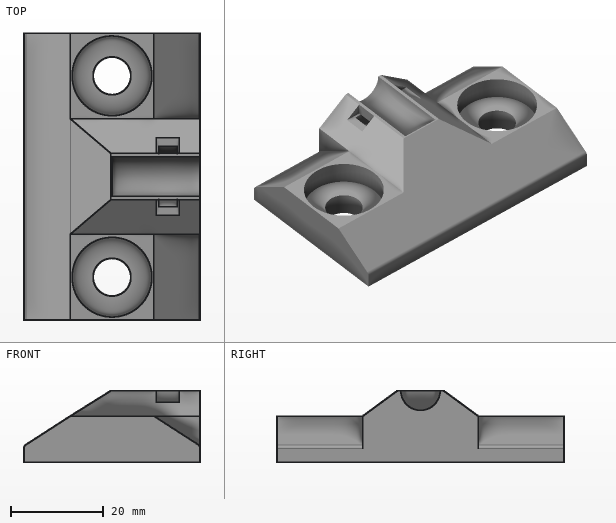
import cadquery as cq
import math

length_x = 38.1
length_y = 62.0
base_height = 10.0
slope_run = 10.0
slope_drop = 6.45
edge_radius = 1.0
mid_x = length_x / 2
side_height = base_height - slope_drop

total_height = 15.5
saddle_foot_width = 25.0
saddle_top_width = 10.0
saddle_foot_x = slope_run
saddle_top_x = 18.8

cradle_radius = 4.25
cradle_start_x = 19.1

pocket_width = 5.0
pocket_depth = 2.5
strap_x = 31.1
tunnel_width = 4.0
tunnel_outer_radius = 7.0
tunnel_inner_radius = math.hypot(saddle_top_width / 2, pocket_depth)

hole_diameter = 8.1
counterbore_diameter = 17.25
counterbore_depth = 5.0
hole_spacing = 43.5


def make_base():
    """Bar along Y with both upper sides sloped and the low slope edges rounded."""
    bar = (
        cq.Workplane("XZ")
        .moveTo(0, 0)
        .lineTo(length_x, 0)
        .lineTo(length_x, side_height)
        .lineTo(length_x - slope_run, base_height)
        .lineTo(slope_run, base_height)
        .lineTo(0, side_height)
        .close()
        .extrude(length_y / 2, both=True)
    )
    low_edges = cq.selectors.BoxSelector(
        (-edge_radius, -length_y, side_height - edge_radius),
        (length_x + edge_radius, length_y, side_height + edge_radius),
    )
    return bar.edges("|Y").edges(low_edges).fillet(edge_radius)


def make_saddle():
    """Block tapered on its -X side and both flanks, vertical at the +X end."""
    foot_length = length_x - saddle_foot_x
    pedestal = cq.Workplane("XY", origin=(saddle_foot_x, 0, 0)).box(
        foot_length, saddle_foot_width, base_height, centered=(False, True, False)
    )
    flanks = (
        cq.Workplane("YZ")
        .moveTo(-saddle_foot_width / 2, base_height)
        .lineTo(saddle_foot_width / 2, base_height)
        .lineTo(saddle_top_width / 2, total_height)
        .lineTo(-saddle_top_width / 2, total_height)
        .close()
        .extrude(length_x)
    )
    side_profile = (
        cq.Workplane("XZ")
        .moveTo(saddle_foot_x, base_height)
        .lineTo(length_x, base_height)
        .lineTo(length_x, total_height)
        .lineTo(saddle_top_x, total_height)
        .close()
        .extrude(saddle_foot_width / 2, both=True)
    )
    return pedestal.union(flanks.intersect(side_profile))


def cylinder_along_x(radius, start_x, end_x):
    """Cylinder parallel to X whose axis lies in the saddle's top face."""
    return (
        cq.Workplane("YZ", origin=(start_x, 0, total_height))
        .circle(radius)
        .extrude(end_x - start_x)
    )


def make_strap_pocket(side):
    """Flat-floored pocket in the flank on the given side (+1 or -1 along Y)."""
    pocket_reach = (saddle_foot_width - saddle_top_width) / 2
    pocket_y = side * (saddle_top_width / 2 + pocket_reach / 2)
    pocket_z = total_height - pocket_depth / 2
    return cq.Workplane("XY", origin=(strap_x, pocket_y, pocket_z)).box(
        pocket_width, pocket_reach, pocket_depth
    )


def make_strap_tunnel():
    """Lower part of a ring around the cradle axis, kept below the pocket floors."""
    start_x = strap_x - tunnel_width / 2
    end_x = strap_x + tunnel_width / 2
    ring = cylinder_along_x(tunnel_outer_radius, start_x, end_x).cut(
        cylinder_along_x(tunnel_inner_radius, start_x, end_x)
    )
    below_floors = cq.Workplane("XY").box(
        length_x, length_y, total_height - pocket_depth, centered=(False, True, False)
    )
    return ring.intersect(below_floors)


def make_mounting_hole(y):
    """Counterbored through hole in the deck at the given Y."""
    bore = (
        cq.Workplane("XY", origin=(mid_x, y, 0))
        .circle(hole_diameter / 2)
        .extrude(base_height)
    )
    counterbore = (
        cq.Workplane("XY", origin=(mid_x, y, base_height - counterbore_depth))
        .circle(counterbore_diameter / 2)
        .extrude(counterbore_depth)
    )
    return bore.union(counterbore)


body = make_base().union(make_saddle())
body = body.cut(cylinder_along_x(cradle_radius, cradle_start_x, length_x))
body = body.cut(make_strap_tunnel())
for side in (-1, 1):
    body = body.cut(make_strap_pocket(side))
    body = body.cut(make_mounting_hole(side * hole_spacing / 2))

result = body